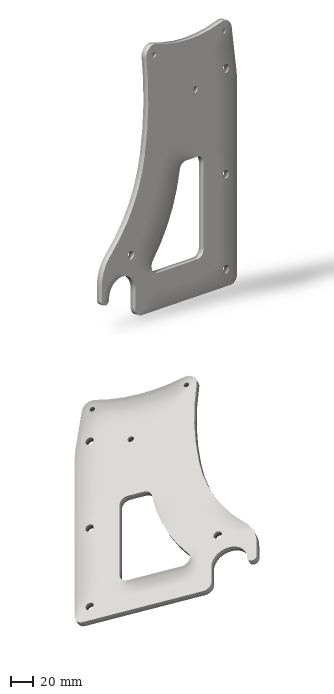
import cadquery as cq
import math

THICKNESS = 6.0
HEIGHT = 252.0
WIDTH = 176.0

BASE_WIDTH = 132.0
BASE_CORNER_RADIUS = 8.0
KINK_HEIGHT = 196.0
KINK_BLEND_RADIUS = 75.5

EAR_RADIUS = 10.0
EAR_HEIGHT = HEIGHT - EAR_RADIUS
FRONT_EAR_END_ANGLE = math.radians(-8)
REAR_EAR = (17.0, EAR_HEIGHT)
FRONT_EAR = (107.9, EAR_HEIGHT)
TOP_DIP_HEIGHT = 245.5

UPPER_ARC_MIDDLE = (115.5, 200.3)
FRONT_ARC_JOINT = (120.0, 150.7)
LOWER_ARC_MIDDLE = (134.3, 107.0)
SHOULDER_RADIUS = 38.0
SHOULDER_END_HEIGHT = 39.5
SHOULDER_START_HEIGHT = 68.3

HOOK_HEIGHT = 25.5
HOOK_TIP_WIDTH = 9.3

WINDOW_REAR = 43.3
WINDOW_TOP = 131.8
WINDOW_BOTTOM = 35.0
WINDOW_TOP_FRONT = 73.5
WINDOW_BOTTOM_FRONT = 121.5
WINDOW_ARC_MIDDLE = (87.2, 83.7)
WINDOW_CORNER_RADIUS = 8.0

EAR_HOLE_DIAMETER = 5.0
PIVOT_HOLE_DIAMETER = 6.0
PIVOT_HOLE = (54.2, 196.0)
MOUNT_HOLE_DIAMETER = 8.0
REAR_HOLE_ACROSS = 14.4
MOUNT_HOLES = [(REAR_HOLE_ACROSS, height) for height in (16.1, 106.0, 206.0)] + [(138.0, 60.2)]


def yz(point):
    """Turn an (across, height) position into sketch coordinates on the YZ plane."""
    across, height = point
    return (-across, height)


def on_circle(center, radius, angle):
    return (center[0] + radius * math.cos(angle), center[1] + radius * math.sin(angle))


def plate_sketch():
    return cq.Workplane("YZ").workplane(offset=-THICKNESS / 2)


def rear_ear_tangent_angle():
    """Angle on the rear ear where the line from the kink touches it."""
    rise = REAR_EAR[1] - KINK_HEIGHT
    distance = math.hypot(REAR_EAR[0], rise)
    to_kink = math.atan2(-rise, -REAR_EAR[0])
    return to_kink - math.acos(EAR_RADIUS / distance)


def top_arc_angle():
    """Angle from horizontal of the line joining each ear to the top arc's center."""
    half_span = (FRONT_EAR[0] - REAR_EAR[0]) / 2
    dip = TOP_DIP_HEIGHT - EAR_HEIGHT
    radius = (half_span**2 + dip**2 - EAR_RADIUS**2) / (2 * (EAR_RADIUS - dip))
    return math.acos(half_span / (radius + EAR_RADIUS))


def plate_blank():
    line_angle = rear_ear_tangent_angle() % (2 * math.pi)
    dip_angle = top_arc_angle()
    rear_ear_start = on_circle(REAR_EAR, EAR_RADIUS, line_angle)
    rear_ear_middle = on_circle(REAR_EAR, EAR_RADIUS, (line_angle + dip_angle) / 2)
    rear_ear_end = on_circle(REAR_EAR, EAR_RADIUS, dip_angle)
    top_dip = ((REAR_EAR[0] + FRONT_EAR[0]) / 2, TOP_DIP_HEIGHT)
    front_ear_start = on_circle(FRONT_EAR, EAR_RADIUS, math.pi - dip_angle)
    front_ear_middle_angle = (math.pi - dip_angle + FRONT_EAR_END_ANGLE) / 2
    front_ear_middle = on_circle(FRONT_EAR, EAR_RADIUS, front_ear_middle_angle)
    front_ear_end = on_circle(FRONT_EAR, EAR_RADIUS, FRONT_EAR_END_ANGLE)

    shoulder_center = (WIDTH - SHOULDER_RADIUS, SHOULDER_END_HEIGHT)
    shoulder_angle = math.asin((SHOULDER_START_HEIGHT - SHOULDER_END_HEIGHT) / SHOULDER_RADIUS)
    shoulder_start = on_circle(shoulder_center, SHOULDER_RADIUS, shoulder_angle)
    shoulder_middle = on_circle(shoulder_center, SHOULDER_RADIUS, shoulder_angle / 2)

    hook_inside = WIDTH - HOOK_TIP_WIDTH
    hook_tip = (WIDTH - HOOK_TIP_WIDTH / 2, HOOK_HEIGHT - HOOK_TIP_WIDTH / 2)
    throat_radius = (hook_inside - BASE_WIDTH) / 2
    throat_top = (BASE_WIDTH + throat_radius, HOOK_HEIGHT + throat_radius)

    blank = (
        plate_sketch()
        .moveTo(0, 0)
        .lineTo(*yz((0, KINK_HEIGHT)))
        .lineTo(*yz(rear_ear_start))
        .threePointArc(yz(rear_ear_middle), yz(rear_ear_end))
        .threePointArc(yz(top_dip), yz(front_ear_start))
        .threePointArc(yz(front_ear_middle), yz(front_ear_end))
        .threePointArc(yz(UPPER_ARC_MIDDLE), yz(FRONT_ARC_JOINT))
        .threePointArc(yz(LOWER_ARC_MIDDLE), yz(shoulder_start))
        .threePointArc(yz(shoulder_middle), yz((WIDTH, SHOULDER_END_HEIGHT)))
        .lineTo(*yz((WIDTH, HOOK_HEIGHT)))
        .threePointArc(yz(hook_tip), yz((hook_inside, HOOK_HEIGHT)))
        .threePointArc(yz(throat_top), yz((BASE_WIDTH, HOOK_HEIGHT)))
        .lineTo(*yz((BASE_WIDTH, 0)))
        .close()
        .extrude(THICKNESS)
    )
    for corner in ((0, 0), (BASE_WIDTH, 0)):
        blank = round_corner(blank, corner, BASE_CORNER_RADIUS)
    return round_corner(blank, (0, KINK_HEIGHT), KINK_BLEND_RADIUS)


def round_corner(plate, corner, radius):
    """Fillet the through-thickness edge at the given profile corner."""
    nearest = cq.selectors.NearestToPointSelector((0, *yz(corner)))
    return plate.edges("|X").edges(nearest).fillet(radius)


def window():
    return (
        plate_sketch()
        .moveTo(*yz((WINDOW_REAR, WINDOW_BOTTOM)))
        .lineTo(*yz((WINDOW_REAR, WINDOW_TOP)))
        .lineTo(*yz((WINDOW_TOP_FRONT, WINDOW_TOP)))
        .threePointArc(yz(WINDOW_ARC_MIDDLE), yz((WINDOW_BOTTOM_FRONT, WINDOW_BOTTOM)))
        .close()
        .extrude(THICKNESS)
        .edges("|X")
        .fillet(WINDOW_CORNER_RADIUS)
    )


def holes(centers, diameter):
    points = [yz(center) for center in centers]
    return plate_sketch().pushPoints(points).circle(diameter / 2).extrude(THICKNESS)


result = (
    plate_blank()
    .cut(window())
    .cut(holes([REAR_EAR, FRONT_EAR], EAR_HOLE_DIAMETER))
    .cut(holes([PIVOT_HOLE], PIVOT_HOLE_DIAMETER))
    .cut(holes(MOUNT_HOLES, MOUNT_HOLE_DIAMETER))
)